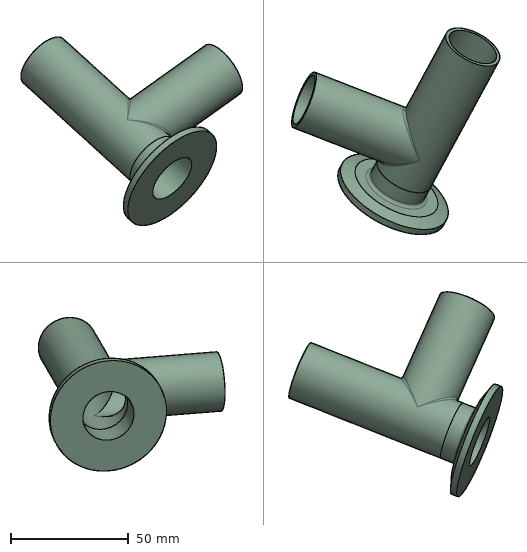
import cadquery as cq

tube_outer_diameter = 25.35
tube_bore_diameter = 22.1
tube_outer_radius = tube_outer_diameter / 2
tube_bore_radius = tube_bore_diameter / 2

run_length = 69.9
branch_axis_x = 54.0
branch_reach = 54.0
crotch_fillet_radius = 1.0

overall_length = 82.6
flange_diameter = 50.4
flange_rim_thickness = 2.9
flange_bevel_length = 2.1
flange_shoulder_diameter = 38.65
neck_fillet_radius = 1.5

crotch_box_length = run_length - branch_axis_x
flange_face_x = overall_length
flange_rim_x = flange_face_x - flange_rim_thickness
flange_shoulder_x = flange_rim_x - flange_bevel_length


def run_cylinder(radius):
    return cq.Workplane("YZ").circle(radius).extrude(run_length)


def branch_cylinder(radius):
    return cq.Workplane("XZ").center(branch_axis_x, 0).circle(radius).extrude(-branch_reach)


def make_outer_tee():
    plain = run_cylinder(tube_outer_radius).union(branch_cylinder(tube_outer_radius))
    crotch_seams = (
        plain.edges("%ELLIPSE")
        .filter(lambda edge: edge.Center().x > branch_axis_x)
    )
    filleted = crotch_seams.fillet(crotch_fillet_radius)

    crotch_box = cq.Workplane("XY").box(
        crotch_box_length, branch_reach, tube_outer_diameter, centered=(False, False, True)
    )
    crotch = filleted.intersect(crotch_box.translate((branch_axis_x, 0, 0)))
    opposite_crotch = crotch.mirror("YZ", (branch_axis_x, 0, 0))
    return filleted.union(opposite_crotch)


def make_tee():
    return make_outer_tee().cut(run_cylinder(tube_bore_radius)).cut(branch_cylinder(tube_bore_radius))


def make_ferrule():
    section = (
        cq.Workplane("XY")
        .moveTo(run_length, tube_bore_radius)
        .lineTo(run_length, tube_outer_radius)
        .lineTo(flange_shoulder_x - neck_fillet_radius, tube_outer_radius)
        .radiusArc((flange_shoulder_x, tube_outer_radius + neck_fillet_radius), -neck_fillet_radius)
        .lineTo(flange_shoulder_x, flange_shoulder_diameter / 2)
        .lineTo(flange_rim_x, flange_diameter / 2)
        .lineTo(flange_face_x, flange_diameter / 2)
        .lineTo(flange_face_x, tube_bore_radius)
        .close()
    )
    return section.revolve(360, (0, 0, 0), (1, 0, 0))


tee = make_tee()
ferrule = make_ferrule()

result = cq.Compound.makeCompound([tee.val(), ferrule.val()])